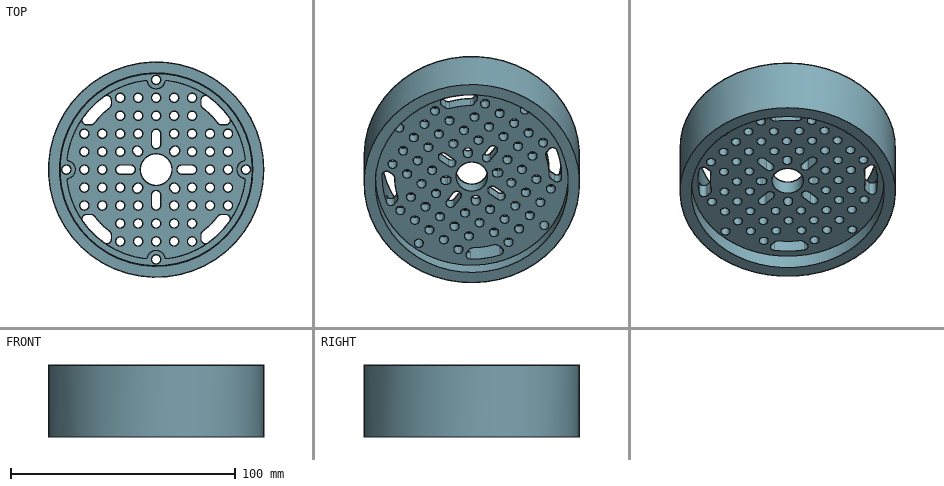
import cadquery as cq
import math

RING_DIAMETER = 96.0
RING_HEIGHT = RING_DIAMETER / 3
RING_BORE_DIAMETER = 86.0

CUP_CLEARANCE = 0.1
CUP_RADIUS = RING_BORE_DIAMETER / 2 - CUP_CLEARANCE
CUP_BOTTOM = RING_HEIGHT / 4
FLOOR_THICKNESS = RING_HEIGHT / 4
CUP_HEIGHT = RING_HEIGHT - CUP_BOTTOM
FLOOR_TOP = CUP_BOTTOM + FLOOR_THICKNESS

GRID_PITCH = RING_DIAMETER / 12
GRID_REACH = 4
CROSS_HALF_WIDTH = 2
HOLE_DIAMETER = GRID_PITCH / 2
HOLE_RADIUS = HOLE_DIAMETER / 2
CENTRE_HOLE_DIAMETER = 14.0

CAVITY_RADIUS = (GRID_REACH + 1) * GRID_PITCH
POST_RADIUS = HOLE_DIAMETER
POST_FILLET = 1.0

SLOT_REACH = 2
SLOT_INNER_RADIUS = GRID_PITCH * math.sqrt(2)
SLOT_OUTER_RADIUS = SLOT_REACH * GRID_PITCH
DIAGONAL_SLOT_OUTER_RADIUS = 12.0

WINDOW_INNER_RADIUS = 34.5
WINDOW_SIDE_OFFSET = (CROSS_HALF_WIDTH + 0.5) * GRID_PITCH
WINDOW_FILLET = HOLE_RADIUS

QUARTER_ANGLES = [0, 90, 180, 270]
DIAGONAL_ANGLE = 45


def make_ring():
    """Plain cylindrical ring with a through bore."""
    return (
        cq.Workplane("XY")
        .circle(RING_DIAMETER / 2)
        .circle(RING_BORE_DIAMETER / 2)
        .extrude(RING_HEIGHT)
    )


def polar_points(radius):
    """Four points at one radius, on the +X, +Y, -X and -Y axes."""
    angles = [math.radians(angle) for angle in QUARTER_ANGLES]
    return [(radius * math.cos(angle), radius * math.sin(angle)) for angle in angles]


def make_cavity():
    """Round cavity above the floor, notched by the four posts and blended into them."""
    cavity_height = RING_HEIGHT - FLOOR_TOP
    base = cq.Workplane("XY").workplane(offset=FLOOR_TOP)
    posts = base.pushPoints(polar_points(CAVITY_RADIUS)).circle(POST_RADIUS).extrude(cavity_height)
    return base.circle(CAVITY_RADIUS).extrude(cavity_height).cut(posts).edges("|Z").fillet(POST_FILLET)


def grid_hole_points():
    """Grid positions left free by the centre hole, slots and corner windows."""
    points = []
    for column in range(-GRID_REACH, GRID_REACH + 1):
        for row in range(-GRID_REACH, GRID_REACH + 1):
            in_corner = min(abs(column), abs(row)) > CROSS_HALF_WIDTH
            on_axis = column == 0 or row == 0
            in_slot = on_axis and max(abs(column), abs(row)) <= SLOT_REACH
            if not (in_corner or in_slot):
                points.append((column * GRID_PITCH, row * GRID_PITCH))
    return points


def cup_base_plane():
    """Workplane at the underside of the cup."""
    return cq.Workplane("XY").workplane(offset=CUP_BOTTOM)


def make_radial_slot(inner_radius, outer_radius, angle):
    """Round-ended slot whose end centres lie at two radii along one direction."""
    return (
        cup_base_plane()
        .center((inner_radius + outer_radius) / 2, 0)
        .slot2D(outer_radius - inner_radius + HOLE_DIAMETER, HOLE_DIAMETER)
        .extrude(FLOOR_THICKNESS)
        .rotate((0, 0, 0), (0, 0, 1), angle)
    )


def make_corner_window(angle):
    """Rounded window between two concentric arcs and two straight sides."""
    quadrant = (
        cup_base_plane()
        .center(WINDOW_SIDE_OFFSET, WINDOW_SIDE_OFFSET)
        .rect(CAVITY_RADIUS, CAVITY_RADIUS, centered=False)
        .extrude(FLOOR_THICKNESS)
    )
    annulus = (
        cup_base_plane().circle(CAVITY_RADIUS).circle(WINDOW_INNER_RADIUS).extrude(FLOOR_THICKNESS)
    )
    window = quadrant.intersect(annulus).edges("|Z").fillet(WINDOW_FILLET)
    return window.rotate((0, 0, 0), (0, 0, 1), angle)


def make_cup():
    """Open-topped cup with four drilled posts and a perforated floor."""
    cup = cup_base_plane().circle(CUP_RADIUS).extrude(CUP_HEIGHT)
    cup = cup.cut(make_cavity())

    post_holes = (
        cup_base_plane()
        .pushPoints(polar_points(CAVITY_RADIUS))
        .circle(HOLE_RADIUS)
        .extrude(CUP_HEIGHT)
    )
    grid_holes = (
        cup_base_plane()
        .pushPoints(grid_hole_points())
        .circle(HOLE_RADIUS)
        .extrude(FLOOR_THICKNESS)
    )
    centre_hole = cup_base_plane().circle(CENTRE_HOLE_DIAMETER / 2).extrude(FLOOR_THICKNESS)
    cup = cup.cut(post_holes).cut(grid_holes).cut(centre_hole)

    for angle in QUARTER_ANGLES:
        cup = cup.cut(make_radial_slot(SLOT_INNER_RADIUS, SLOT_OUTER_RADIUS, angle))
        cup = cup.cut(make_radial_slot(SLOT_INNER_RADIUS, DIAGONAL_SLOT_OUTER_RADIUS, angle + DIAGONAL_ANGLE))
        cup = cup.cut(make_corner_window(angle))
    return cup


ring = make_ring()
cup = make_cup()
result = cq.Compound.makeCompound([ring.val(), cup.solids().val()])